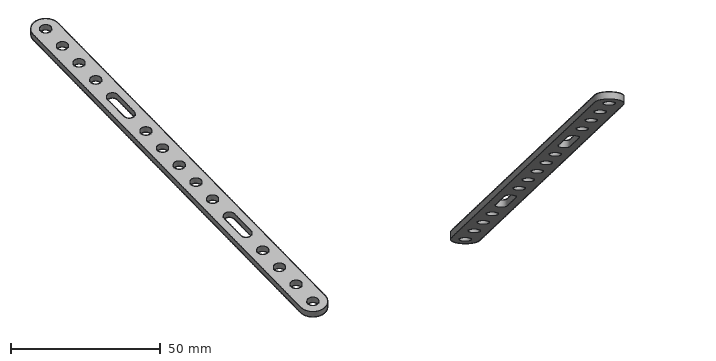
import cadquery as cq

length = 170.0
width = 10.0
thickness = 2.5
hole_diameter = 4.0

position_count = 17
pitch = (length - width) / (position_count - 1)

slot_starts = [4, 11]
slot_length = pitch + hole_diameter
slot_positions = [start + offset for start in slot_starts for offset in (0, 1)]


def grid_x(position):
    """X of a grid position, with the strip centred on the origin."""
    return (position - (position_count - 1) / 2) * pitch


hole_centers = [(grid_x(i), 0) for i in range(position_count) if i not in slot_positions]
slot_centers = [(grid_x(start + 0.5), 0) for start in slot_starts]

strip = cq.Workplane("XY").slot2D(length, width).extrude(thickness)

strip = strip.faces(">Z").workplane(origin=(0, 0, 0)).pushPoints(hole_centers).hole(hole_diameter)

slot_cutters = (
    cq.Workplane("XY").pushPoints(slot_centers).slot2D(slot_length, hole_diameter).extrude(thickness)
)

result = strip.cut(slot_cutters)